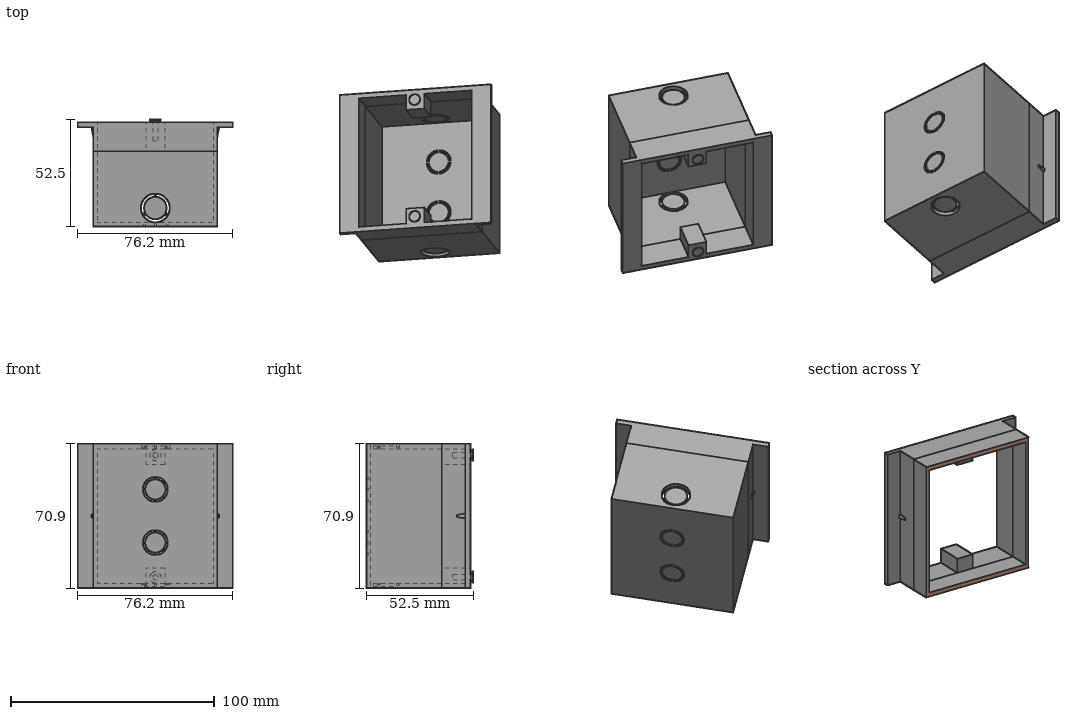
import cadquery as cq
import math

flange_width = 76.25
box_width = 61.0
height = 70.9
depth = 51.25
frame_depth = 14.2
flange_thickness = 2.6
wall = 2.0
end_wall = 2.45
front_y = -depth
seam_y = -frame_depth

front_ring_radius = 6.0
front_disc_radius = 5.0
front_knockout_z = 13.05
front_tab_angles = (0, 90, 180, 270)

end_ring_radius = 7.0
end_disc_radius = 5.6
end_knockout_setback = 9.1
end_knockout_y = front_y + end_knockout_setback
end_disc_recess = 1.0
end_tab_slope = 0.6
end_tab_angles = (90, 210, 330)
tab_width = 1.0

bump_length = 4.6
bump_height = 0.85
bump_radius = 1.15
bump_bar_length = bump_length + flange_thickness / 2

screw_z = 30.0
head_radius = 2.75
rim_height = 0.4
head_height = 1.3
shank_radius = 1.3
shank_length = 9.15
boss_width = 9.15
boss_bottom_z = screw_z - boss_width / 2


def block(width, y_min, y_max, z_min, z_max):
    """Box centred on x = 0 between the given y and z limits."""
    return (
        cq.Workplane("XY")
        .box(width, y_max - y_min, z_max - z_min, centered=(True, False, False))
        .translate((0, y_min, z_min))
    )


def cavity(y_min, y_max):
    """Inner space of the box between two y positions."""
    inner_z = height / 2 - end_wall
    return block(box_width - 2 * wall, y_min, y_max, -inner_z, inner_z)


def flush_knockout_gap():
    """Opening around a flush disc held by straight tabs, from z = 0 down through the wall."""
    plug = cq.Workplane("XY").circle(front_disc_radius).extrude(-wall)
    for angle in front_tab_angles:
        tab = (
            cq.Workplane("XY")
            .box(front_ring_radius + tab_width, tab_width, wall, centered=(False, True, False))
            .translate((0, 0, -wall))
            .rotate((0, 0, 0), (0, 0, 1), angle)
        )
        plug = plug.union(tab)
    bore = cq.Workplane("XY").circle(front_ring_radius).extrude(-wall)
    return bore.cut(plug)


def sunk_knockout_gap():
    """Opening above and around a recessed disc held by tabs that slope down from its edge."""
    disc_plane = cq.Workplane("XY", origin=(0, 0, -end_wall))
    plug = disc_plane.circle(end_disc_radius).extrude(end_wall - end_disc_recess)
    bore = cq.Workplane("XY").circle(end_ring_radius).extrude(-end_wall)
    tab_reach = end_ring_radius + tab_width / 2
    tab_end_z = -end_disc_recess - end_tab_slope * (tab_reach - end_disc_radius)
    for angle in end_tab_angles:
        tab = (
            cq.Workplane("XZ")
            .polyline([
                (0, -end_wall),
                (tab_reach, -end_wall),
                (tab_reach, tab_end_z),
                (end_disc_radius, -end_disc_recess),
                (0, -end_disc_recess),
            ])
            .close()
            .extrude(tab_width / 2, both=True)
            .rotate((0, 0, 0), (0, 0, 1), angle)
        )
        plug = plug.union(tab)
    return bore.cut(plug)


def make_front_box():
    body = block(box_width, front_y, seam_y, -height / 2, height / 2)
    body = body.cut(cavity(front_y + wall, seam_y))

    front_gap = flush_knockout_gap().rotate((0, 0, 0), (1, 0, 0), 90)
    for z in (-front_knockout_z, front_knockout_z):
        body = body.cut(front_gap.translate((0, front_y, z)))

    top_gap = sunk_knockout_gap().translate((0, end_knockout_y, height / 2))
    return body.cut(top_gap).cut(top_gap.mirror("XY"))


def make_bump(side):
    """Round bar tilted so that it rises out of the frame side towards the flange."""
    tip = (side * box_width / 2, -flange_thickness - bump_length, 0)
    tilt = math.degrees(math.atan(bump_height / bump_length))
    axis_x = side * (box_width / 2 - bump_radius)
    bar = cq.Workplane("XZ", origin=(axis_x, tip[1], 0)).circle(bump_radius).extrude(-bump_bar_length)
    return bar.rotate(tip, (tip[0], tip[1], 1), -side * tilt)


def make_rear_frame():
    body = block(box_width, seam_y, 0, -height / 2, height / 2)
    body = body.union(block(flange_width, -flange_thickness, 0, -height / 2, height / 2))
    for side in (-1, 1):
        body = body.union(make_bump(side))
    body = body.cut(cavity(seam_y, 0))

    boss = block(boss_width, seam_y, 0, boss_bottom_z, height / 2 - end_wall)
    body = body.union(boss).union(boss.mirror("XY"))
    for z in (-screw_z, screw_z):
        body = body.cut(cq.Workplane("XZ", origin=(0, 0, z)).circle(shank_radius).extrude(shank_length))
    return body


def make_screw(z):
    """Countersunk screw along Y, its head cone resting on the mounting face."""
    profile = [
        (0, -shank_length),
        (shank_radius, -shank_length),
        (shank_radius, 0),
        (head_radius, head_height - rim_height),
        (head_radius, head_height),
        (0, head_height),
    ]
    screw = cq.Workplane("XY").polyline(profile).close().revolve(360, (0, 0, 0), (0, 1, 0))
    return screw.translate((0, 0, z))


front_box = make_front_box()
rear_frame = make_rear_frame()
screws = [make_screw(z).val() for z in (-screw_z, screw_z)]

result = cq.Compound.makeCompound([front_box.val(), rear_frame.val(), *screws])